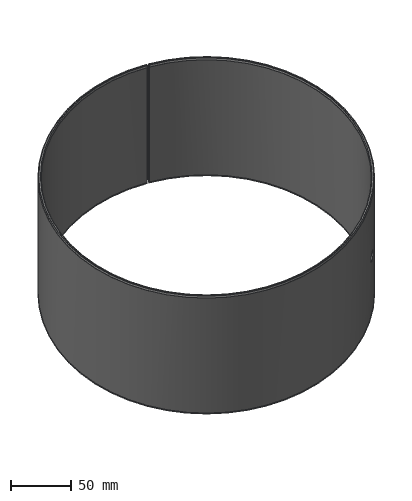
import cadquery as cq

outer_diameter = 280.0
height = 140.0
wall = 2.8
rim_chamfer_height = 1.7
rim_chamfer_depth = 0.7

slit_width = 2.0

hole_diameter = 10.0
hole_angle = 59.0

outer_radius = outer_diameter / 2
inner_radius = outer_radius - wall


def make_band():
    """Revolve the wall section, with steep chamfers inside and outside both rims."""
    rim = height / 2
    shoulder = rim - rim_chamfer_height
    rim_inner = inner_radius + rim_chamfer_depth
    rim_outer = outer_radius - rim_chamfer_depth
    section = [
        (rim_inner, -rim),
        (rim_outer, -rim),
        (outer_radius, -shoulder),
        (outer_radius, shoulder),
        (rim_outer, rim),
        (rim_inner, rim),
        (inner_radius, shoulder),
        (inner_radius, -shoulder),
    ]
    return cq.Workplane("XZ").polyline(section).close().revolve(360, (0, 0), (0, 1))


def make_slit():
    """Full-height cutter that opens the band on its -X side."""
    return (
        cq.Workplane("XY")
        .box(outer_radius, slit_width, height, centered=(False, False, True))
        .translate((-outer_radius, 0, 0))
    )


def make_hole():
    """Radial cutter running outward from the axis through one wall."""
    cutter = cq.Workplane("YZ").circle(hole_diameter / 2).extrude(outer_diameter)
    return cutter.rotate((0, 0, 0), (0, 0, 1), hole_angle)


result = make_band().cut(make_slit()).cut(make_hole())